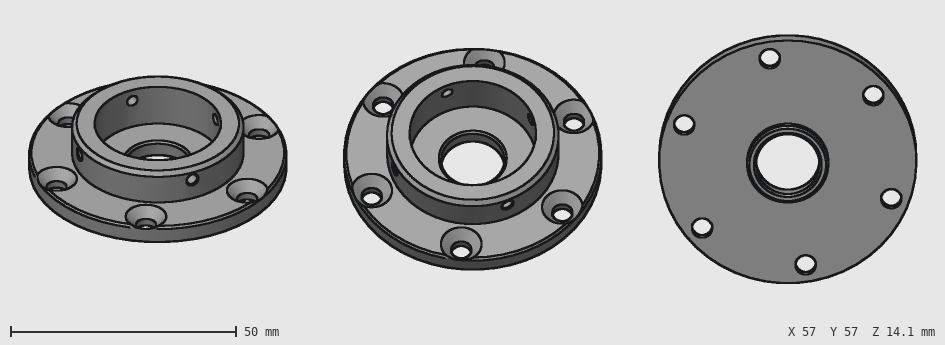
import cadquery as cq

flange_diameter = 57.0
flange_thickness = 4.05
small_chamfer = 0.5

housing_diameter = 38.0
housing_height = 8.0
housing_chamfer = 1.0
spigot_diameter = 18.0
spigot_height = 2.0
top_z = flange_thickness + housing_height

seat_diameter = 28.0
seat_depth = 10.0
bore_diameter = 14.0

mount_count = 6
mount_circle_radius = 24.5
mount_hole_diameter = 4.5
countersink_diameter = 9.0
countersink_angle = 90

screw_count = 4
screw_hole_diameter = 2.5
screw_mouth_diameter = 3.0
screw_height = flange_thickness + 5.0


def make_body():
    flange = cq.Workplane("XY").circle(flange_diameter / 2).extrude(flange_thickness)
    flange = flange.faces(">Z").edges().chamfer(small_chamfer)
    housing = cq.Workplane("XY").circle(housing_diameter / 2).extrude(top_z)
    housing = housing.faces(">Z").edges().chamfer(housing_chamfer)
    spigot = cq.Workplane("XY").circle(spigot_diameter / 2).extrude(-spigot_height)
    spigot = spigot.faces("<Z").edges().chamfer(small_chamfer)
    return flange.union(housing).union(spigot)


def cut_stepped_bore(body):
    body = body.faces(">Z").workplane().hole(seat_diameter, seat_depth)
    body = body.faces(">Z").workplane().hole(bore_diameter)
    for mouth_z, inward in ((top_z - seat_depth, -1), (-spigot_height, 1)):
        mouth = cq.Solid.makeCone(
            bore_diameter / 2 + small_chamfer,
            bore_diameter / 2,
            small_chamfer,
            pnt=cq.Vector(0, 0, mouth_z),
            dir=cq.Vector(0, 0, inward),
        )
        body = body.cut(cq.Workplane(obj=mouth))
    return body


def cut_mounting_holes(body):
    return (
        body.copyWorkplane(cq.Workplane("XY", origin=(0, 0, flange_thickness)))
        .polarArray(mount_circle_radius, 90, 360, mount_count)
        .cskHole(mount_hole_diameter, countersink_diameter, countersink_angle)
    )


def cut_screw_holes(body):
    outer_radius = housing_diameter / 2
    mouth_depth = (screw_mouth_diameter - screw_hole_diameter) / 2
    start = cq.Vector(outer_radius, 0, screw_height)
    inward = cq.Vector(-1, 0, 0)
    drill = cq.Solid.makeCylinder(screw_hole_diameter / 2, outer_radius, start, inward)
    mouth = cq.Solid.makeCone(
        screw_mouth_diameter / 2, screw_hole_diameter / 2, mouth_depth, start, inward
    )
    cutter = cq.Workplane(obj=drill).union(cq.Workplane(obj=mouth))
    for index in range(screw_count):
        body = body.cut(cutter.rotate((0, 0, 0), (0, 0, 1), index * 360 / screw_count))
    return body


result = cut_screw_holes(cut_mounting_holes(cut_stepped_bore(make_body())))